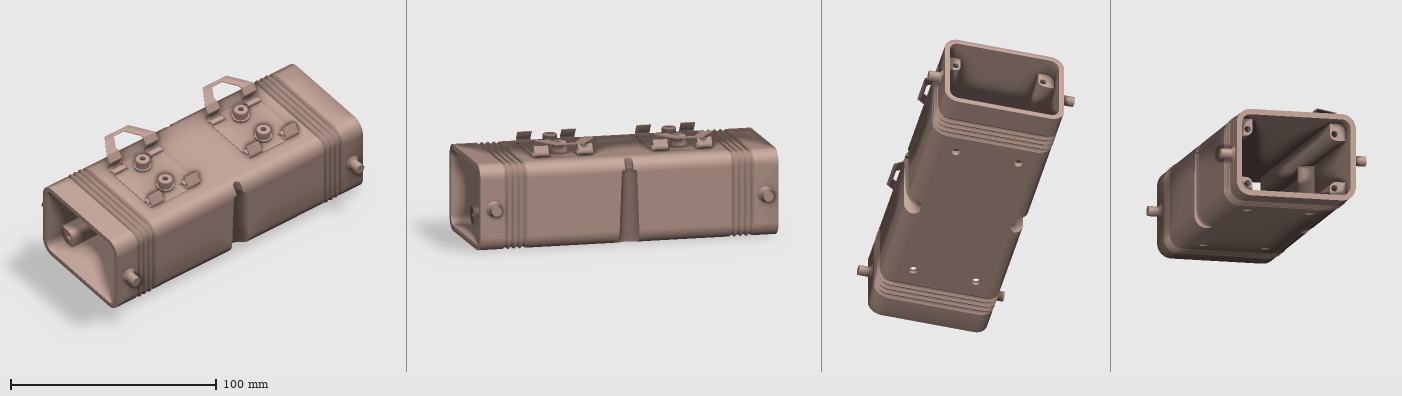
import cadquery as cq
import math

LENGTH = 150.0
WIDTH = 60.0
HEIGHT = 43.0
WALL = 2.7
CORNER_R = 7.0
TOP = HEIGHT / 2
INNER_X = WIDTH / 2 - WALL
INNER_Z = HEIGHT / 2 - WALL

BAND_START = 12.0
GROOVE_COUNT = 4
GROOVE_PITCH = 3.0
GROOVE_DEPTH = 1.2
VALLEY_R = 5.0
RIDGE_R = VALLEY_R + GROOVE_DEPTH
BAND_OUTER = LENGTH / 2 - BAND_START
BAND_INNER = BAND_OUTER - GROOVE_COUNT * GROOVE_PITCH

RAIL_WIDTH = 7.8
RAIL_HEIGHT = 8.5
RAIL_EDGE_R = 3.3
RAIL_LENGTH = 130.5
RAIL_HOLE_D = 3.2
RAIL_HOLE_DEPTH = 12.0
RAIL_HOLE_X = 21.9
RAIL_HOLE_Z = 13.5

RECESS_X = 27.8
RECESS_SLOT_D = 4.2
RECESS_TOP_D = 7.6
RECESS_BOTTOM_D = 10.5
RECESS_HEAD_Z = 15.6
RECESS_POST_R = 6.9

FLOOR_HOLE_D = 4.2
FLOOR_HOLE_X = 15.8
FLOOR_HOLE_Y = 41.5

PIN_SPAN = 73.0
PIN_D = 5.0
PIN_END_GAP = 6.6
COLLAR_BASE_D = 7.8
COLLAR_LENGTH = 1.4

CLIP_Y = 30.0
CLIP_WIDTH = 29.4
SHEET = 0.5
CLIP_TOP = 9.0
PLATE_MID_X = 17.7
PLATE_MID_WIDTH = 12.8
TAB_ROOT_X = 11.5
TAB_STEP_X = 12.5
ROLL_X = 16.2
ROLL_R = 1.58
STEP_HEIGHT = 1.72
LEVER_WRAP = 25.0
HOOK_WRAP = 35.0
HOOK_TIP = (15.0, 6.2)
LEVER_BEND_POINTS = ((-16.5, 6.2), (-16.2, 5.5), (-16.5, 5.0))
TAB_GAP = 15.0
LEVER_BEND_X = 18.6
LEVER_TIP_X = 30.3
LEVER_TIP_WIDTH = 14.4
WINDOW_START_X = 20.8
WINDOW_TIP_X = 28.2
WINDOW_TIP_WIDTH = 6.0

SCREW_X = 9.2
WASHER_D = 8.4
WASHER_TOP = 1.8
HEAD_D = 7.0
HEAD_TOP = 6.0
HEAD_EDGE_R = 0.8
SOCKET_FLATS = 2.8
SOCKET_DEPTH = 2.2


def mirror_xy(shape):
    """The shape together with its copies in the other three X/Y quadrants."""
    pair = shape.union(shape.mirror("YZ"))
    return pair.union(pair.mirror("XZ"))


def outline(inset, radius):
    """Rounded rectangle of the body's cross section, shrunk by the inset."""
    sketch = cq.Sketch().rect(WIDTH - 2 * inset, HEIGHT - 2 * inset)
    return sketch.vertices().fillet(radius).reset()


def section_plane(y):
    """Cross-section plane at the given Y, facing -Y."""
    return cq.Plane(origin=(0, y, 0), xDir=(1, 0, 0), normal=(0, -1, 0))


def prism(y_min, y_max, inset, radius):
    section = cq.Workplane(section_plane(y_max)).placeSketch(outline(inset, radius))
    return section.extrude(y_max - y_min)


def groove_flank(y_ridge, y_valley):
    """Sloping flank between a ridge and a groove bottom."""
    ridge = outline(0, RIDGE_R)
    valley = outline(GROOVE_DEPTH, VALLEY_R).moved(cq.Location((0, 0, y_ridge - y_valley)))
    return cq.Workplane(section_plane(y_ridge)).placeSketch(ridge, valley).loft(ruled=True)


def groove_band():
    """V grooves at the +Y end; inner ridges stand slightly proud at the corners."""
    flanks = []
    for i in range(GROOVE_COUNT):
        ridge = BAND_INNER + i * GROOVE_PITCH
        valley = ridge + GROOVE_PITCH / 2
        flanks.append(groove_flank(ridge, valley))
        flanks.append(groove_flank(ridge + GROOVE_PITCH, valley))
    envelope = prism(BAND_INNER, BAND_OUTER, 0, CORNER_R)
    flanks[0] = flanks[0].intersect(envelope)
    flanks[-1] = flanks[-1].intersect(envelope)
    band = flanks[0]
    for flank in flanks[1:]:
        band = band.union(flank)
    return band


def grooved_body():
    body = prism(-BAND_INNER, BAND_INNER, 0, CORNER_R)
    end = groove_band().union(prism(BAND_OUTER, LENGTH / 2, 0, CORNER_R))
    return body.union(end).union(end.mirror("XZ"))


def rails():
    """Four rails along the inner corners."""
    rail_x = INNER_X + WALL / 2 - RAIL_WIDTH / 2
    rail_z = INNER_Z + WALL / 2 - RAIL_HEIGHT / 2
    rail = (
        cq.Workplane("XY")
        .box(RAIL_WIDTH + WALL, RAIL_LENGTH, RAIL_HEIGHT + WALL)
        .edges("<X and <Z").fillet(RAIL_EDGE_R)
        .translate((rail_x, 0, rail_z))
    )
    pair = rail.union(rail.mirror("YZ"))
    return pair.union(pair.mirror("XY"))


def rail_holes():
    """Screw holes in the -Y ends of the four rails."""
    return (
        cq.Workplane("XZ", origin=(0, -RAIL_LENGTH / 2, 0))
        .rect(2 * RAIL_HOLE_X, 2 * RAIL_HOLE_Z, forConstruction=True)
        .vertices().circle(RAIL_HOLE_D / 2).extrude(-RAIL_HOLE_DEPTH)
    )


def recess_cutter():
    """Narrow slot over a tapered screw pocket, both open to the +X side."""
    slot = (
        cq.Workplane("XY", origin=(RECESS_X, 0, 0))
        .circle(RECESS_SLOT_D / 2).extrude(HEIGHT)
        .union(cq.Workplane("XY").box(WIDTH, RECESS_SLOT_D, HEIGHT, (False, True, False))
               .translate((RECESS_X, 0, 0)))
    )
    depth = RECESS_HEAD_Z + TOP
    cone = cq.Workplane(cq.Solid.makeCone(
        RECESS_BOTTOM_D / 2, RECESS_TOP_D / 2, depth, cq.Vector(RECESS_X, 0, -TOP)))
    mouth = (
        cq.Workplane("YZ", origin=(RECESS_X, 0, 0))
        .polyline([
            (-RECESS_BOTTOM_D / 2, -TOP), (RECESS_BOTTOM_D / 2, -TOP),
            (RECESS_TOP_D / 2, RECESS_HEAD_Z), (-RECESS_TOP_D / 2, RECESS_HEAD_Z),
        ]).close().extrude(WIDTH / 2)
    )
    return slot.union(cone).union(mouth)


def housing():
    outer = grooved_body()
    cavity = prism(-LENGTH / 2, LENGTH / 2, WALL, CORNER_R - WALL)
    post = cq.Workplane("XY", origin=(RECESS_X, 0, -TOP)).circle(RECESS_POST_R).extrude(HEIGHT)
    inserts = rails().union(post).union(post.mirror("YZ"))
    body = outer.cut(cavity.cut(inserts))
    holes = rail_holes()
    body = body.cut(holes).cut(holes.mirror("XZ"))
    recess = recess_cutter()
    body = body.cut(recess).cut(recess.mirror("YZ"))
    floor_holes = (
        cq.Workplane("XY", origin=(0, 0, -TOP))
        .rect(2 * FLOOR_HOLE_X, 2 * FLOOR_HOLE_Y, forConstruction=True)
        .vertices().circle(FLOOR_HOLE_D / 2).extrude(2 * WALL)
    )
    return body.cut(floor_holes)


def locking_pins():
    base = WIDTH / 2 - WALL / 2
    pin_y = LENGTH / 2 - PIN_END_GAP
    pin = (
        cq.Workplane("YZ", origin=(base, pin_y, 0))
        .circle(PIN_D / 2).extrude(PIN_SPAN / 2 - base)
    )
    collar = cq.Workplane(cq.Solid.makeCone(
        COLLAR_BASE_D / 2, PIN_D / 2, COLLAR_LENGTH,
        cq.Vector(WIDTH / 2, pin_y, 0), cq.Vector(1, 0, 0)))
    return mirror_xy(pin.union(collar))


def bent_strip(path):
    """Sheet of the clip's full width that follows a path in the X/Z plane."""
    return path.offset2D(SHEET / 2, "intersection").extrude(CLIP_WIDTH / 2, both=True)


def rolled_tab_path(side, wrap_angle):
    """Path of a tab from its root to the end of its rolled bead."""
    wrap = math.radians(wrap_angle)
    roll_end_x = ROLL_X + ROLL_R * math.cos(wrap)
    roll_end_z = STEP_HEIGHT + ROLL_R * math.sin(wrap)
    return (
        cq.Workplane("XZ")
        .moveTo(side * TAB_ROOT_X, SHEET / 2)
        .lineTo(side * TAB_STEP_X, SHEET / 2)
        .lineTo(side * TAB_STEP_X, STEP_HEIGHT)
        .lineTo(side * (ROLL_X - ROLL_R), STEP_HEIGHT)
        .threePointArc((side * ROLL_X, STEP_HEIGHT - ROLL_R), (side * roll_end_x, roll_end_z))
    )


def clip():
    """One clip at Y = 0, resting on the top face."""
    lever_z = CLIP_TOP - SHEET / 2
    bend_top, bend_middle, bend_bottom = LEVER_BEND_POINTS
    lever = bent_strip(
        rolled_tab_path(-1, LEVER_WRAP)
        .lineTo(*bend_bottom).threePointArc(bend_middle, bend_top)
        .lineTo(-LEVER_BEND_X, lever_z).lineTo(-LEVER_TIP_X, lever_z)
    )
    hook = bent_strip(rolled_tab_path(1, HOOK_WRAP).lineTo(*HOOK_TIP))
    window = (
        cq.Workplane("XY")
        .polyline([
            (WINDOW_START_X, -TAB_GAP / 2), (WINDOW_START_X, TAB_GAP / 2),
            (-WINDOW_START_X, TAB_GAP / 2), (-WINDOW_TIP_X, WINDOW_TIP_WIDTH / 2),
            (-WINDOW_TIP_X, -WINDOW_TIP_WIDTH / 2), (-WINDOW_START_X, -TAB_GAP / 2),
        ]).close().extrude(2 * CLIP_TOP)
    )
    blank = (
        cq.Workplane("XY")
        .polyline([
            (WINDOW_START_X, -CLIP_WIDTH / 2), (WINDOW_START_X, CLIP_WIDTH / 2),
            (-LEVER_BEND_X, CLIP_WIDTH / 2), (-LEVER_TIP_X, LEVER_TIP_WIDTH / 2),
            (-LEVER_TIP_X, -LEVER_TIP_WIDTH / 2), (-LEVER_BEND_X, -CLIP_WIDTH / 2),
        ]).close().extrude(2 * CLIP_TOP)
    )
    tabs = lever.union(hook).cut(window).intersect(blank)
    centered = (True, True, False)
    plate = cq.Workplane("XY").box(2 * TAB_ROOT_X, CLIP_WIDTH, SHEET, centered)
    tongue = cq.Workplane("XY").box(2 * PLATE_MID_X, PLATE_MID_WIDTH, SHEET, centered)
    return tabs.union(plate).union(tongue)


def clip_screw():
    """Socket head screw with washer."""
    washer = cq.Workplane("XY").circle(WASHER_D / 2).extrude(WASHER_TOP)
    head = (
        cq.Workplane("XY").circle(HEAD_D / 2).extrude(HEAD_TOP)
        .faces(">Z").edges().fillet(HEAD_EDGE_R)
        .faces(">Z").workplane()
        .polygon(6, SOCKET_FLATS / math.cos(math.pi / 6)).cutBlind(-SOCKET_DEPTH)
    )
    return washer.union(head)


def clip_set():
    screw = clip_screw()
    return (
        clip()
        .union(screw.translate((-SCREW_X, 0, 0)))
        .union(screw.translate((SCREW_X, 0, 0)))
    )


result = housing().union(locking_pins())
for y in (-CLIP_Y, CLIP_Y):
    result = result.union(clip_set().translate((0, y, TOP)))